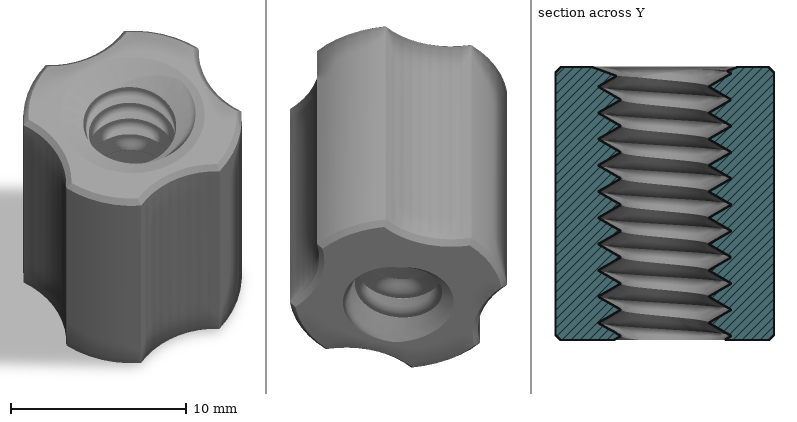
import cadquery as cq
import math

height = 15.62
body_radius = 6.25
scallop_radius = 5.0
scallop_center_radius = 10.0
scallop_count = 4
first_scallop_angle = 45.0
edge_chamfer = 0.3

bore_radius = 2.5
countersink_radius = 4.12
countersink_depth = 0.6

pitch = 1.5
crest_flat = 0.02
flank_angle = 30.0
crest_angle = 127.0
bore_overlap = 0.15
end_turns = 2


def lobed_body():
    """Cylinder with evenly spaced round scallops, chamfered at both ends."""
    body = cq.Workplane("XY").circle(body_radius).extrude(height)
    scallops = (
        cq.Workplane("XY")
        .polarArray(scallop_center_radius, first_scallop_angle, 360, scallop_count)
        .circle(scallop_radius)
        .extrude(height)
    )
    return body.cut(scallops).faces("<Z or >Z").chamfer(edge_chamfer)


def bore():
    """Straight through hole with the cone at its top, as one revolved cutter."""
    return (
        cq.Workplane("XZ")
        .lineTo(bore_radius, 0)
        .lineTo(bore_radius, height - countersink_depth)
        .lineTo(countersink_radius, height)
        .lineTo(0, height)
        .close()
        .revolve(360, (0, 0), (0, 1))
    )


def thread_groove():
    """V groove solid running past both end faces, bounded by ruled helical faces."""
    half_width = (pitch - crest_flat) / 2
    root_radius = bore_radius + half_width / math.tan(math.radians(flank_angle))
    inner_radius = bore_radius - bore_overlap
    turns = math.ceil(height / pitch) + 2 * end_turns
    corners = [
        (inner_radius, -half_width),
        (bore_radius, -half_width),
        (root_radius, 0),
        (bore_radius, half_width),
        (inner_radius, half_width),
    ]

    helices = []
    for radius, offset in corners:
        helix = cq.Wire.makeHelix(pitch, turns * pitch, radius)
        helices.append(helix.translate(cq.Vector(0, 0, offset)))

    faces = []
    for helix, next_helix in zip(helices, helices[1:] + helices[:1]):
        faces.extend(cq.Face.makeRuledSurface(helix, next_helix).Faces())
    for end_height in (0, turns * pitch):
        end_points = [cq.Vector(radius, 0, end_height + offset) for radius, offset in corners]
        faces.append(cq.Face.makeFromWires(cq.Wire.makePolygon(end_points, close=True)))
    groove = cq.Solid.makeSolid(cq.Shell.makeShell(faces))

    start_z = height - countersink_depth + pitch / 2 - (turns - end_turns) * pitch
    return cq.Workplane(groove).rotate((0, 0, 0), (0, 0, 1), crest_angle).translate((0, 0, start_z))


result = lobed_body().cut(bore()).cut(thread_groove())